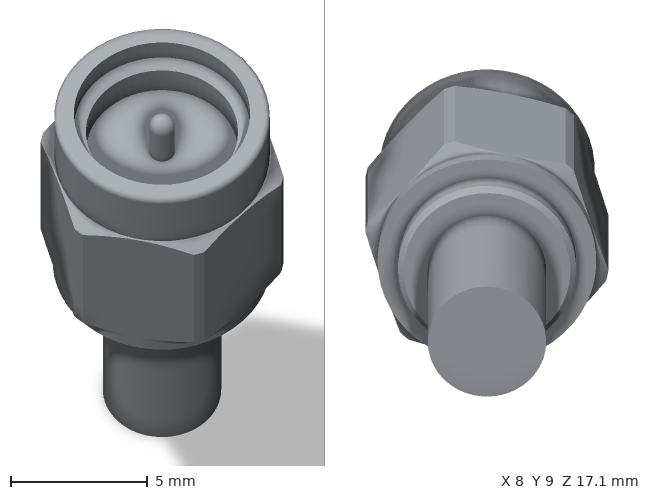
import cadquery as cq
import math

total_height = 17.05
collar_bottom = 6.95
flange_bottom = 7.91
hex_bottom = 8.55
hex_top = 14.55

tail_radius = 2.17
collar_radius = 3.25
collar_chamfer = 0.2
hex_across_flats = 8.0
hex_corner_radius = 4.5
hex_chamfer_angle = 30.0
barrel_radius = 3.94
barrel_rim_fillet = 0.2

mouth_radius = 3.22
mouth_depth = 0.92
seat_radius = 2.78
seat_depth = 1.13
socket_depth = 2.34
pin_radius = 0.46
pin_height = 2.05

flange_radius = hex_across_flats / 2
socket_floor = total_height - socket_depth


def cylinder(radius, bottom, top):
    return cq.Workplane("XY").workplane(offset=bottom).circle(radius).extrude(top - bottom)


def revolve_profile(points):
    """Revolve an (r, z) outline about the Z axis."""
    return cq.Workplane("XZ").polyline(points).close().revolve(360, (0, 0, 0), (0, 1, 0))


def make_hex_nut():
    """Hexagon with flats facing +X and -X, its corners turned to a cylinder and both ends coned."""
    across_corners = hex_across_flats / math.cos(math.pi / 6)
    prism = (
        cq.Workplane("XY")
        .workplane(offset=hex_bottom)
        .transformed(rotate=(0, 0, 90))
        .polygon(6, across_corners)
        .extrude(hex_top - hex_bottom)
    )
    corner_drop = (hex_corner_radius - flange_radius) * math.tan(math.radians(hex_chamfer_angle))
    envelope = revolve_profile([
        (0, hex_bottom),
        (flange_radius, hex_bottom),
        (hex_corner_radius, hex_bottom + corner_drop),
        (hex_corner_radius, hex_top - corner_drop),
        (flange_radius, hex_top),
        (0, hex_top),
    ])
    return prism.intersect(envelope)


def make_socket():
    """Stepped bore with a conical seat between the mouth and the inner bore."""
    return revolve_profile([
        (0, socket_floor),
        (seat_radius, socket_floor),
        (seat_radius, total_height - seat_depth),
        (mouth_radius, total_height - mouth_depth),
        (mouth_radius, total_height),
        (0, total_height),
    ])


def make_pin():
    """Contact pin with a hemispherical tip, standing on the socket floor."""
    tip_center = socket_floor + pin_height - pin_radius
    shank = cylinder(pin_radius, socket_floor, tip_center)
    tip = cq.Workplane("XY").sphere(pin_radius).translate((0, 0, tip_center))
    return shank.union(tip)


tail = cylinder(tail_radius, 0, collar_bottom)
collar = cylinder(collar_radius, collar_bottom, flange_bottom).faces("<Z").edges().chamfer(collar_chamfer)
flange = cylinder(flange_radius, flange_bottom, hex_bottom)
barrel = cylinder(barrel_radius, hex_top, total_height).faces(">Z").edges().fillet(barrel_rim_fillet)

body = tail.union(collar).union(flange).union(make_hex_nut()).union(barrel)
result = body.cut(make_socket()).union(make_pin())